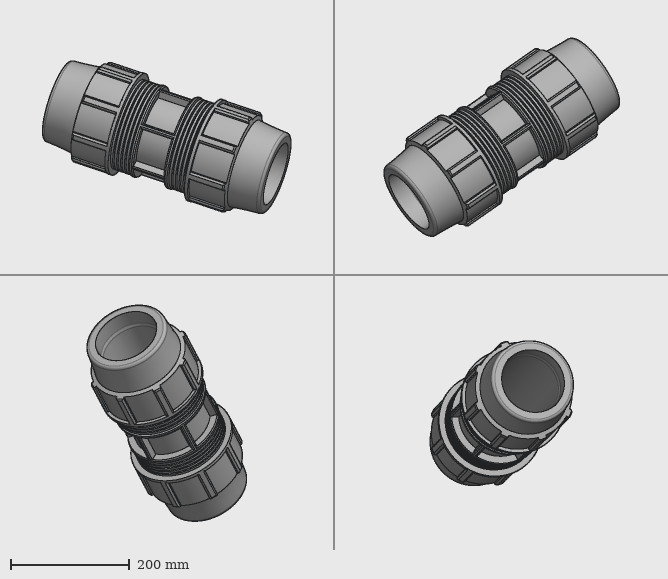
import cadquery as cq
import math

half_length = 199.0

bore_radius = 55.0
mouth_radius = 55.0
undercut_radius = 56.5
undercut_depth = 31.0
undercut_cone_length = 6.5

nose_round = 5.0
nose_tip_radius = 72.0
mouth_face_radius = nose_tip_radius - nose_round
nose_root_radius = 77.2
nose_hollow = 0.6
shoulder_start = 142.5
shoulder_edge = 139.0
shoulder_edge_radius = 88.8
shoulder_end = 136.0
nut_radius = 90.55
flange_outer_face = 75.5
flange_inner_face = 69.5

nut_rib_count = 8
panel_radius = 84.58
nut_rib_half_width = 7.35
nut_bevel_width = 3.0
nut_bevel_depth = 3.5

thread_crest_radius = 79.8
thread_root_radius = 72.5
groove_count = 5
groove_width = 2.8
groove_pitch = 7.0
collar_outer_face = 34.2

collar_radius = 81.4
collar_inner_face = 28.0
barrel_radius = 67.5
middle_rib_count = 6
middle_rib_half_width = 4.5
collar_bevel_width = 2.8
collar_bevel_depth = 1.4


def both_ends(half):
    """A body at the +X end together with its mirror image at the -X end."""
    return half.union(half.mirror("YZ"))


def revolve_about_x(profile):
    return profile.close().revolve(360, (0, 0, 0), (1, 0, 0))


def cut_around_x(body, cutter, count):
    """Cut evenly spaced copies of a cutter, the first one at +Z, around the X axis."""
    for i in range(count):
        body = body.cut(cutter.rotate((0, 0, 0), (1, 0, 0), i * 360 / count))
    return body


def make_nut_blank():
    nose_tip = half_length - nose_round
    round_mid_offset = nose_round * math.sqrt(0.5)
    round_mid = (nose_tip + round_mid_offset, mouth_face_radius + round_mid_offset)
    nose_mid = (
        (nose_tip + shoulder_start) / 2,
        (nose_tip_radius + nose_root_radius) / 2 - nose_hollow,
    )
    profile = (
        cq.Workplane("XY")
        .moveTo(flange_inner_face, 0)
        .lineTo(half_length, 0)
        .lineTo(half_length, mouth_face_radius)
        .threePointArc(round_mid, (nose_tip, nose_tip_radius))
        .threePointArc(nose_mid, (shoulder_start, nose_root_radius))
        .lineTo(shoulder_edge, shoulder_edge_radius)
        .lineTo(shoulder_end, nut_radius)
        .lineTo(flange_inner_face, nut_radius)
    )
    return revolve_about_x(profile)


def space_between_ribs(count, half_width, outer_radius, bevel_width, bevel_depth):
    """Cross-section at +Z of the wedge between two neighbouring ribs with bevelled tops."""
    rib_angle = math.pi / count

    def beside_rib(height, offset):
        """Point at a height along the rib's centre line, offset towards the wedge."""
        y = height * math.sin(rib_angle) - offset * math.cos(rib_angle)
        z = height * math.cos(rib_angle) + offset * math.sin(rib_angle)
        return y, z

    tip = (0, half_width / math.sin(rib_angle))
    one_side = [
        beside_rib(outer_radius - bevel_depth, half_width),
        beside_rib(outer_radius + bevel_depth, half_width - 2 * bevel_width),
    ]
    peak = (0, 2 * outer_radius)
    other_side = [(-y, z) for y, z in reversed(one_side)]
    return cq.Workplane("YZ").polyline([tip] + one_side + [peak] + other_side).close()


def make_panel_cutter():
    """Space above one nut panel, from the flange out past the shoulder."""
    length = shoulder_start - flange_outer_face
    outer_radius = nut_radius + nut_bevel_depth
    ring = cq.Workplane("YZ").circle(outer_radius).circle(panel_radius).extrude(length)
    wedge = space_between_ribs(
        nut_rib_count, nut_rib_half_width, nut_radius, nut_bevel_width, nut_bevel_depth
    ).extrude(length)
    return ring.intersect(wedge).translate((flange_outer_face, 0, 0))


def make_thread():
    """Crest cylinder with ring grooves; the first groove touches the collar."""
    start = collar_outer_face
    length = flange_inner_face - start
    thread = cq.Workplane("YZ", origin=(start, 0, 0)).circle(thread_crest_radius).extrude(length)
    for i in range(groove_count):
        groove = (
            cq.Workplane("YZ", origin=(start + i * groove_pitch, 0, 0))
            .circle(collar_radius)
            .circle(thread_root_radius)
            .extrude(groove_width)
        )
        thread = thread.cut(groove)
    return thread


def space_between_collars():
    """Ring of space above the barrel, its side faces bevelled at the collars."""
    bevel_foot = collar_radius - collar_bevel_depth
    outer_radius = collar_radius + collar_bevel_depth
    outer_half_length = collar_inner_face + 2 * collar_bevel_width
    profile = (
        cq.Workplane("XY")
        .moveTo(-collar_inner_face, barrel_radius)
        .lineTo(-collar_inner_face, bevel_foot)
        .lineTo(-outer_half_length, outer_radius)
        .lineTo(outer_half_length, outer_radius)
        .lineTo(collar_inner_face, bevel_foot)
        .lineTo(collar_inner_face, barrel_radius)
    )
    return revolve_about_x(profile)


def make_middle():
    """Drum with windows cut down to the barrel, leaving the collars and ribs."""
    middle = (
        cq.Workplane("YZ", origin=(-collar_outer_face, 0, 0))
        .circle(collar_radius)
        .extrude(2 * collar_outer_face)
    )
    wedge = space_between_ribs(
        middle_rib_count, middle_rib_half_width, collar_radius, collar_bevel_width, collar_bevel_depth
    ).extrude(collar_outer_face, both=True)
    window = space_between_collars().intersect(wedge)
    return cut_around_x(middle, window, middle_rib_count)


def make_bore():
    undercut = half_length - undercut_depth
    profile = (
        cq.Workplane("XY")
        .lineTo(half_length, 0)
        .lineTo(half_length, mouth_radius)
        .lineTo(undercut, undercut_radius)
        .lineTo(undercut - undercut_cone_length, bore_radius)
        .lineTo(0, bore_radius)
    )
    return both_ends(revolve_about_x(profile))


nut = cut_around_x(make_nut_blank(), make_panel_cutter(), nut_rib_count)
half_body = make_thread().union(nut)
result = make_middle().union(both_ends(half_body)).cut(make_bore())